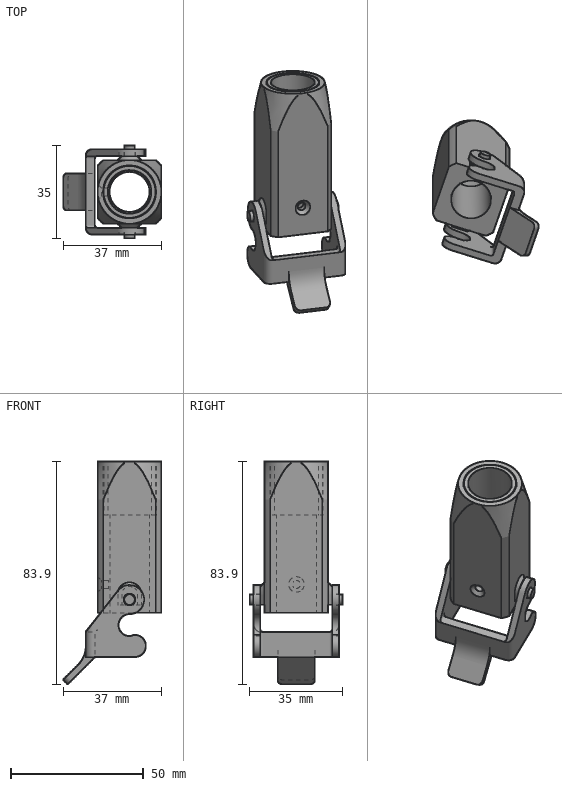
import cadquery as cq
import math


housing_width = 24.0
housing_height = 57.0
corner_radius = 15.5
shoulder_height = 42.7
bore_diameter = 15.0

seat_diameter = 20.0
sleeve_outer_diameter = 19.5
sleeve_inner_diameter = 16.5
sleeve_length = 20.0

screw_height = 10.8
screw_diameter = 3.0
screw_depth = 4.0
countersink_diameter = 5.8
countersink_angle = 90.0

pivot_height = 5.0
pin_diameter = 4.0
pin_end = 17.5
boss_base_radius = 4.5
boss_length = 1.5

lever_thickness = 2.6
lever_hole_diameter = 4.4
arm_inner_face = housing_width / 2 + boss_length
arm_outer_face = arm_inner_face + lever_thickness
arm_eye_radius = 5.5
lever_back = -16.5
lever_bottom = -16.65
plate_top = -7.15
plate_thickness = 3.5
inner_bend_radius = 1.0
slot_radius = 4.1
hook_radius = 4.2
hook_center_x = 2.0

tab_width = 14.0
tab_bend_start = -12.5
tab_bend_radius = 10.0
tab_angle = math.radians(45)
tab_tip_x = -25.02
tab_corner_radius = 2.0


def make_boss():
    """Tapered arch on the +Y wall with its pin."""
    base_y = housing_width / 2
    end_radius = boss_base_radius - boss_length
    arch_center = pivot_height + pin_diameter / 2
    arch = (
        cq.Workplane("XY", origin=(0, 0, arch_center))
        .moveTo(0, base_y)
        .lineTo(-boss_base_radius, base_y)
        .lineTo(-end_radius, arm_inner_face)
        .lineTo(0, arm_inner_face)
        .close()
        .revolve(180, (0, 0, 0), (0, 1, 0))
    )
    foot = (
        cq.Workplane("XY", origin=(0, 0, arch_center))
        .moveTo(-boss_base_radius, base_y)
        .lineTo(boss_base_radius, base_y)
        .lineTo(end_radius, arm_inner_face)
        .lineTo(-end_radius, arm_inner_face)
        .close()
        .extrude(-pin_diameter)
    )
    pin = (
        cq.Workplane("XZ", origin=(0, base_y, pivot_height))
        .circle(pin_diameter / 2)
        .extrude(base_y - pin_end)
    )
    return arch.union(foot).union(pin)


def make_housing():
    block = cq.Workplane("XY").rect(housing_width, housing_width).extrude(housing_height)
    envelope = (
        cq.Workplane("XZ")
        .lineTo(corner_radius, 0)
        .lineTo(corner_radius, shoulder_height)
        .lineTo(housing_width / 2, housing_height)
        .lineTo(0, housing_height)
        .close()
        .revolve(360, (0, 0, 0), (0, 1, 0))
    )
    body = block.intersect(envelope)
    boss = make_boss()
    body = body.union(boss).union(boss.mirror("XZ"))
    body = (
        body.faces(">Z")
        .workplane(origin=(0, 0, 0))
        .cboreHole(bore_diameter, seat_diameter, sleeve_length)
    )
    return (
        body.faces("<X")
        .workplane(origin=(0, 0, screw_height))
        .cskHole(screw_diameter, countersink_diameter, countersink_angle, screw_depth)
    )


def make_sleeve():
    return (
        cq.Workplane("XY", origin=(0, 0, housing_height - sleeve_length))
        .circle(sleeve_outer_diameter / 2)
        .circle(sleeve_inner_diameter / 2)
        .extrude(sleeve_length)
    )


def make_side_profile():
    """Side profile of the arms, extruded across the whole lever."""
    run = -lever_back
    rise = pivot_height - plate_top
    distance = math.hypot(run, rise)
    edge_slope = math.atan2(rise, run) + math.asin(arm_eye_radius / distance)
    eye_start = (
        -arm_eye_radius * math.sin(edge_slope),
        pivot_height + arm_eye_radius * math.cos(edge_slope),
    )

    slot_top = pivot_height - arm_eye_radius
    slot_bottom = slot_top - 2 * slot_radius
    hook_top = lever_bottom + 2 * hook_radius
    blend_middle = (hook_center_x / 2, (slot_bottom + hook_top) / 2)

    return (
        cq.Workplane("XZ")
        .moveTo(lever_back, lever_bottom)
        .lineTo(lever_back, plate_top)
        .lineTo(*eye_start)
        .threePointArc((arm_eye_radius, pivot_height), (0, slot_top))
        .threePointArc((-slot_radius, slot_top - slot_radius), (0, slot_bottom))
        .tangentArcPoint(blend_middle, relative=False)
        .tangentArcPoint((hook_center_x, hook_top), relative=False)
        .threePointArc(
            (hook_center_x + hook_radius, lever_bottom + hook_radius),
            (hook_center_x, lever_bottom),
        )
        .close()
        .extrude(arm_outer_face, both=True)
    )


def make_strap():
    """U-shaped strap seen from above: two arms joined by the back plate."""
    length = 2 * arm_eye_radius - lever_back
    height = pivot_height + arm_eye_radius - lever_bottom
    outside = (
        cq.Workplane("XY", origin=(lever_back, 0, lever_bottom))
        .box(length, 2 * arm_outer_face, height, centered=(False, True, False))
        .edges("|Z and <X")
        .fillet(lever_thickness)
    )
    inside = (
        cq.Workplane("XY", origin=(lever_back + plate_thickness, 0, lever_bottom))
        .box(length, 2 * arm_inner_face, height, centered=(False, True, False))
        .edges("|Z and <X")
        .fillet(inner_bend_radius)
    )
    above_plate = (
        cq.Workplane("XY", origin=(lever_back, 0, plate_top))
        .box(length, 2 * arm_inner_face, height, centered=(False, True, False))
        .edges("|X and <Z")
        .fillet(inner_bend_radius)
    )
    return outside.cut(inside).cut(above_plate)


def make_tab():
    """Thumb tab bent outwards from the back plate."""
    sin_a, cos_a = math.sin(tab_angle), math.cos(tab_angle)
    arc_center_x = lever_back - tab_bend_radius

    def bend_point(angle):
        x = arc_center_x + tab_bend_radius * math.cos(angle)
        z = tab_bend_start - tab_bend_radius * math.sin(angle)
        return x, z

    bend_end = bend_point(tab_angle)
    tip_outer = (tab_tip_x, bend_end[1] - (bend_end[0] - tab_tip_x) / math.tan(tab_angle))

    root_x = lever_back + plate_thickness
    thickness = (root_x - tip_outer[0]) * cos_a - (lever_bottom - tip_outer[1]) * sin_a
    tip_inner = (tip_outer[0] + thickness * cos_a, tip_outer[1] - thickness * sin_a)

    return (
        cq.Workplane("XZ")
        .moveTo(lever_back, tab_bend_start)
        .threePointArc(bend_point(tab_angle / 2), bend_end)
        .lineTo(*tip_outer)
        .lineTo(*tip_inner)
        .lineTo(root_x, lever_bottom)
        .lineTo(root_x, tab_bend_start)
        .close()
        .extrude(tab_width / 2, both=True)
        .edges(cq.selectors.ParallelDirSelector(cq.Vector(cos_a, 0, -sin_a)))
        .fillet(tab_corner_radius)
    )


def make_lever():
    pivot_hole = (
        cq.Workplane("XZ", origin=(0, 0, pivot_height))
        .circle(lever_hole_diameter / 2)
        .extrude(arm_outer_face, both=True)
    )
    return make_strap().intersect(make_side_profile()).cut(pivot_hole).union(make_tab())


housing = make_housing()
sleeve = make_sleeve()
lever = make_lever()
result = cq.Compound.makeCompound([housing.val(), sleeve.val(), lever.val()])